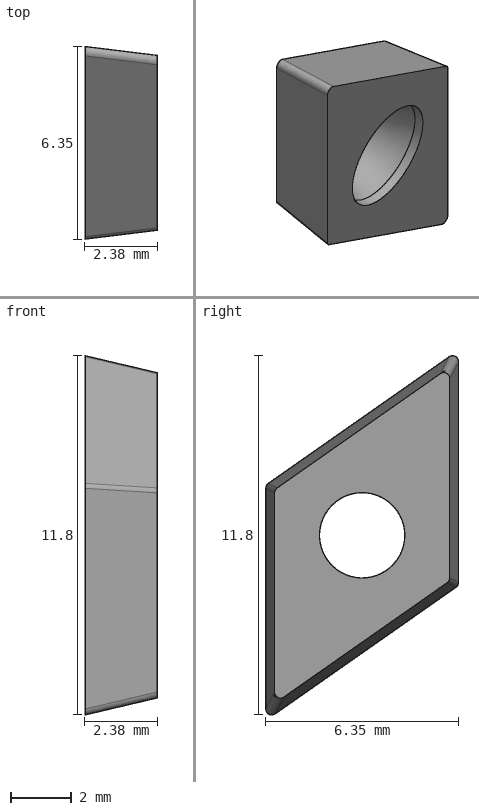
import cadquery as cq
import math

thickness = 2.38
inscribed_diameter = 6.35
acute_angle = 55.0
clearance_angle = 7.0
corner_radius = 0.2

hole_diameter = 2.8
mouth_diameter = 3.72
mouth_depth = 0.3
seat_diameter = 3.64
seat_arc_radius = 2.8


def rhombus_points(width):
    """Corners (y, z) of a rhombus with two sides parallel to Z."""
    side = width / math.sin(math.radians(acute_angle))
    rise = side * math.cos(math.radians(acute_angle))
    half_width = width / 2
    top = (side + rise) / 2
    return [
        (half_width, top),
        (half_width, top - side),
        (-half_width, -top),
        (-half_width, side - top),
    ]


def insert_body():
    """Tapered rhombic plate with its four corner edges rounded."""
    shrink = 2 * thickness * math.tan(math.radians(clearance_angle))
    plate = (
        cq.Workplane("YZ")
        .polyline(rhombus_points(inscribed_diameter)).close()
        .workplane(offset=thickness)
        .polyline(rhombus_points(inscribed_diameter - shrink)).close()
        .loft(ruled=True)
    )
    flank_edges = plate.edges("not(#X)")
    return flank_edges.fillet(corner_radius)


def screw_hole():
    """Through hole: conical entry, then a curved seat that ends tangent to the bore."""
    bore_radius = hole_diameter / 2
    flare = seat_diameter / 2 - bore_radius
    arc_angle = math.acos(1 - flare / seat_arc_radius)
    bore_start = mouth_depth + seat_arc_radius * math.sin(arc_angle)
    arc_middle = (
        bore_start - seat_arc_radius * math.sin(arc_angle / 2),
        bore_radius + seat_arc_radius * (1 - math.cos(arc_angle / 2)),
    )
    return (
        cq.Workplane("XY")
        .lineTo(0, mouth_diameter / 2)
        .lineTo(mouth_depth, seat_diameter / 2)
        .threePointArc(arc_middle, (bore_start, bore_radius))
        .lineTo(thickness, bore_radius)
        .lineTo(thickness, 0)
        .close()
        .revolve(360, (0, 0, 0), (1, 0, 0))
    )


result = insert_body().cut(screw_hole())